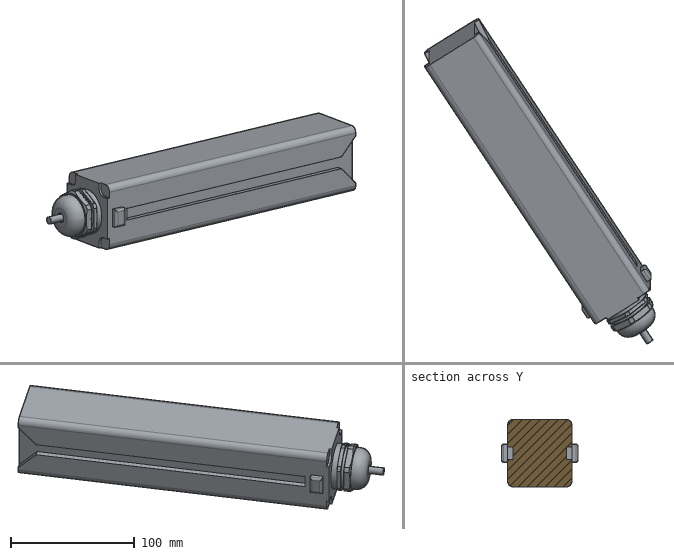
import cadquery as cq
import math

overall_length = 296.79
overall_width = 62.0

housing_width = 52.5
housing_height = 55.0
housing_length = 257.0
housing_edge_radius = 5.2

corner_width = 11.0
corner_height = 10.2
corner_depth = 2.0
corner_radius = 5.5

channel_height = 10.0
channel_depth = 4.5
channel_start = 20.0
flare_height = 40.0
flare_length = (flare_height - channel_height) / 2

latch_height = 14.8
latch_length = 10.0
latch_start = 5.0
latch_edge_radius = 1.8
latch_thickness = (overall_width - housing_width) / 2

collar_radius = 18.7
groove_radius = 17.5
hex_across_flats = 37.0
hex_corner_radius = 20.3
locknut_start = 4.8
locknut_end = 7.9
nut_start = 10.4
nut_end = 15.9
nut_chamfer_length = 1.0
nut_chamfer_width = 2.2
dome_end = 27.8
dome_flat_radius = 7.9
dome_arc_radius = 9.3
cable_radius = 3.0
cable_entry_radius = 4.0
cable_entry_depth = 2.0


def box(x_range, y_range, z_range):
    """Box between the given limits."""
    (x0, x1), (y0, y1), (z0, z1) = x_range, y_range, z_range
    return cq.Workplane("XY").box(x1 - x0, y1 - y0, z1 - z0, centered=False).translate((x0, y0, z0))


def cylinder(radius, start, end):
    """Cylinder on the gland axis between two distances in front of the housing."""
    return cq.Workplane("XZ").workplane(offset=start).circle(radius).extrude(end - start)


def corner_recess(side, level):
    """Shallow cut with one rounded inner edge at a corner of the front face."""
    half_width = housing_width / 2
    half_height = housing_height / 2
    cut = box(
        (half_width - corner_width, half_width),
        (0, corner_depth),
        (half_height - corner_height, half_height),
    )
    cut = cut.edges("|Y and <X and <Z").fillet(corner_radius)
    if side < 0:
        cut = cut.mirror("YZ")
    if level < 0:
        cut = cut.mirror("XY")
    return cut


def side_channel():
    """Cutter for the flared channel in the -X side."""
    flare_start = housing_length - flare_length
    half_channel = channel_height / 2
    half_flare = flare_height / 2
    return (
        cq.Workplane("YZ", origin=(-housing_width / 2, 0, 0))
        .moveTo(channel_start, -half_channel)
        .lineTo(flare_start, -half_channel)
        .lineTo(housing_length, -half_flare)
        .lineTo(housing_length, half_flare)
        .lineTo(flare_start, half_channel)
        .lineTo(channel_start, half_channel)
        .close()
        .extrude(channel_depth)
    )


def housing():
    """Square bar with rounded long edges, corner recesses and two side channels."""
    body = cq.Workplane("XZ").rect(housing_width, housing_height).extrude(-housing_length)
    body = body.edges("|Y").fillet(housing_edge_radius)
    for side in (-1, 1):
        for level in (-1, 1):
            body = body.cut(corner_recess(side, level))
    channel = side_channel()
    return body.cut(channel).cut(channel.mirror("YZ"))


def latch():
    """Latch on the -X side with its outer edges rounded."""
    block = box(
        (-overall_width / 2, -overall_width / 2 + latch_thickness),
        (latch_start, latch_start + latch_length),
        (-latch_height / 2, latch_height / 2),
    )
    return block.faces("<X").edges().fillet(latch_edge_radius)


def hexagon(start, end):
    """Hexagonal prism with corners up and down."""
    corner_diameter = hex_across_flats / math.cos(math.pi / 6)
    return (
        cq.Workplane("XZ")
        .workplane(offset=start)
        .transformed(rotate=(0, 0, 90))
        .polygon(6, corner_diameter)
        .extrude(end - start)
    )


def dome():
    """Round cap: one arc from the nut bulges outward and runs tangent into the flat end."""
    arc_centre = dome_end - dome_arc_radius
    base_drop = arc_centre - nut_end
    base_radius = dome_flat_radius + math.sqrt(dome_arc_radius**2 - base_drop**2)
    arc_middle = dome_arc_radius * math.sqrt(0.5)
    return (
        cq.Workplane("XY")
        .moveTo(0, -nut_end)
        .lineTo(base_radius, -nut_end)
        .threePointArc(
            (dome_flat_radius + arc_middle, -arc_centre - arc_middle),
            (dome_flat_radius, -dome_end),
        )
        .lineTo(0, -dome_end)
        .close()
        .revolve(360, (0, 0, 0), (0, 1, 0))
    )


def gland():
    """Collar, locknut, groove, nut, round cap and cable on the Y axis."""
    locknut_trim = cylinder(hex_corner_radius, locknut_start, locknut_end)
    nut_trim = cylinder(hex_corner_radius, nut_start, nut_end)
    nut_trim = nut_trim.faces("<Y").chamfer(nut_chamfer_length, nut_chamfer_width)
    return (
        cylinder(collar_radius, 0, locknut_start)
        .union(hexagon(locknut_start, locknut_end).intersect(locknut_trim))
        .union(cylinder(groove_radius, locknut_end, nut_start))
        .union(hexagon(nut_start, nut_end).intersect(nut_trim))
        .union(dome())
        .cut(cylinder(cable_entry_radius, dome_end - cable_entry_depth, dome_end))
        .union(cylinder(cable_radius, dome_end - cable_entry_depth, overall_length - housing_length))
    )


side_latch = latch()
result = housing().union(side_latch).union(side_latch.mirror("YZ")).union(gland())